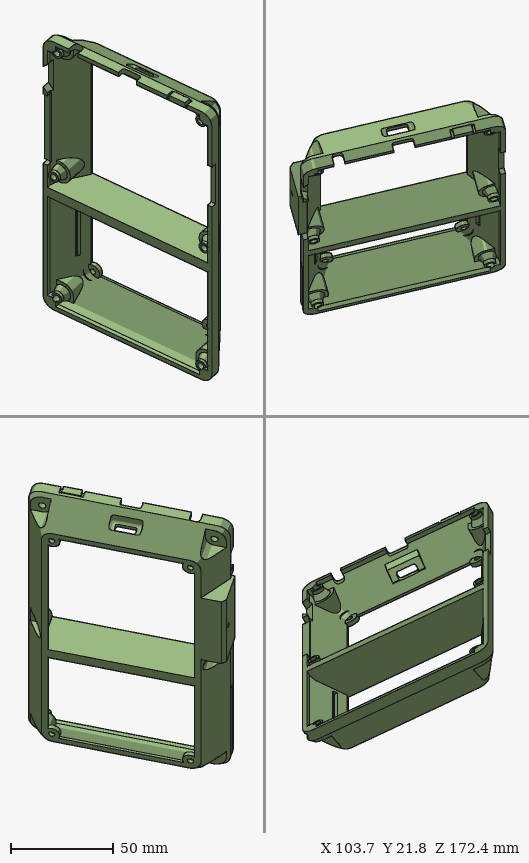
import cadquery as cq
WIDTH = 102.0
HEIGHT = 171.75
DEPTH = 21.75
RIM_DEPTH = 5.6
BACK_INSET = 10.7
CORNER_RADIUS = 6.5
BACK_CORNER_RADIUS = 5.8

LIP_THICKNESS = 2.6
LIP_DEPTH = 2.3
SLOPE_INSET = 3.85
SLOPE_START = 6.0
BACK_OPENING_INSET = 14.0
BACK_LAND = 1.3
INNER_CORNER_RADIUS = 5.5

HALF_W = WIDTH / 2
HALF_H = HEIGHT / 2

BAR_TOP = -9.2
BAR_THICKNESS = 5.9

BOSS_INSET = 7.5
MID_BOSS_INSET = 5.5
MID_BOSS_Z = -1.8
BOSS_DIAMETER = 6.0
BOSS_FRONT = 1.0
BOSS_HOLE = 3.7
CONE_BASE_RADIUS = 4.7
CONE_FRONT = 2.8
SOCKET_RADIUS = 4.5
SOCKET_FRONT = 7.8
SOCKET_BACK = 18.9
COLUMN_RADIUS = SOCKET_RADIUS + 2.1
COLUMN_FRONT = 6.0

POST_INSET = 15.95
POST_DIAMETER = 8.2
POST_HOLE = 2.98
POST_FRONT = 19.4
POST_CONE_FRONT = 17.4

BLOCK_OVERHANG = 103.7 - WIDTH
BLOCK_Z = 27.2
BLOCK_LENGTH = 44.6
BLOCK_FRONT = 3.3
BLOCK_CHAMFER = 2.0
BLOCK_HOLE_DIAMETER = 2.35
BLOCK_HOLE_Y = 15.8
BLOCK_HOLE_DEPTH = 2.0

LEFT_NOTCH_Z = 60.4
LEFT_NOTCH_LENGTH = 13.0
LEFT_NOTCH_DEPTH = 4.3
RIGHT_NOTCH_Z = 40.6
RIGHT_NOTCH_LENGTH = 25.5
RIGHT_NOTCH_DEPTH = 3.0
CABLE_NOTCH_X = -32.7
CABLE_NOTCH_WIDTH = 5.5
CABLE_NOTCH_DEPTH = 5.6
CABLE_NOTCH_CORNER = 2.0
PORT_WIDTH = 10.8
PORT_CORNER = 1.2
PORT_NOTCH_DEPTH = 4.1

PORT_Y = 13.0
PORT_HEIGHT = 4.4
RECESS_WIDTH = 16.3
RECESS_HEIGHT = 7.0
RECESS_CORNER = 1.5
RECESS_INSET = 7.0
RECESS_SIDE_RADIUS = 1.8
RECESS_Y = 12.8
PAD_WIDTH = 17.8
PAD_FRONT_Y = 6.3
PAD_FRONT_INSET = 4.75
PAD_RIDGE_Y = 8.2
PAD_RIDGE_INSET = 8.0
PAD_BACK_Y = 14.6
PAD_BACK_INSET = 10.2

TAB_X = 30.0
TAB_WIDTH = 9.6
TAB_RISE = 172.38 - HEIGHT
TAB_DEPTH = 3.9
TAB_SLIT_WIDTH = 1.3
TAB_SLIT_DEPTH = 1.7

SIDE_GROOVE_TOP = -31.3
SIDE_GROOVE_FRONT = 1.6
SIDE_GROOVE_STEP = 3.25
SIDE_GROOVE_DEPTH = 1.5
WALL_SLOT_Z = -38.6
WALL_SLOT_LENGTH = 41.7
WALL_SLOT_Y = 15.2
WALL_SLOT_THICKNESS = 1.7
WALL_SLOT_INSET = 9.2


def span_box(x_range, y_range, z_range):
    """Box between pairs of coordinates."""
    size = [abs(b - a) for a, b in (x_range, y_range, z_range)]
    corner = [min(r) for r in (x_range, y_range, z_range)]
    return cq.Workplane("XY").box(*size, centered=False).translate(tuple(corner))


def cylinder_y(x, z, radius, front, back):
    """Cylinder along Y."""
    axis = cq.Vector(0, 1, 0)
    return cq.Workplane(obj=cq.Solid.makeCylinder(radius, back - front, cq.Vector(x, front, z), axis))


def outline(inset, y, radius=0):
    """Outline parallel to the front, drawn in from the outer sides and optionally rounded."""
    wire = cq.Workplane("XZ", origin=(0, y, 0)).rect(WIDTH - 2 * inset, HEIGHT - 2 * inset).val()
    if radius:
        wire = wire.fillet2D(radius, wire.Vertices())
    return wire


def ruled_loft(*wires):
    return cq.Workplane(obj=cq.Solid.makeLoft(list(wires), True))


def outer_solid():
    rim = outline(0, 0, CORNER_RADIUS)
    shoulder = outline(0, RIM_DEPTH, CORNER_RADIUS)
    back = outline(BACK_INSET, DEPTH, BACK_CORNER_RADIUS)
    return ruled_loft(rim, shoulder).union(ruled_loft(shoulder, back))


def inner_cavity():
    """Hollow of the lip, the steep zone, the slope with rounded corners and the straight back opening."""
    land_start = DEPTH - BACK_LAND
    front = outline(LIP_THICKNESS, 0)
    lip_end = outline(LIP_THICKNESS, LIP_DEPTH)
    steep_end = outline(SLOPE_INSET, SLOPE_START)
    slope_start = outline(SLOPE_INSET, SLOPE_START, INNER_CORNER_RADIUS)
    slope_end = outline(BACK_OPENING_INSET, land_start, INNER_CORNER_RADIUS)
    back = outline(BACK_OPENING_INSET, DEPTH, INNER_CORNER_RADIUS)
    cavity = ruled_loft(front, lip_end)
    for start, end in ((lip_end, steep_end), (slope_start, slope_end), (slope_end, back)):
        cavity = cavity.union(ruled_loft(start, end))
    return cavity


def corner_prism(sx, sz, radius, front, back):
    """Prism from a corner boss axis out to both sides, rounded about the boss on its inner corner."""
    x = HALF_W - BOSS_INSET
    z = HALF_H - BOSS_INSET
    prism = cylinder_y(sx * x, sz * z, radius, front, back)
    for low_x, low_z in ((x - radius, z), (x, z - radius)):
        prism = prism.union(span_box((sx * low_x, sx * HALF_W), (front, back), (sz * low_z, sz * HALF_H)))
    return prism


def middle_prism(sx, radius, front, back):
    """Prism around a middle boss, open toward the side."""
    x = HALF_W - MID_BOSS_INSET
    z_range = (MID_BOSS_Z - radius, MID_BOSS_Z + radius)
    arm = span_box((sx * x, sx * HALF_W), (front, back), z_range)
    return cylinder_y(sx * x, MID_BOSS_Z, radius, front, back).union(arm)


def cone_y(x, z, front_radius, back_radius, front, back):
    """Cone along Y."""
    axis = cq.Vector(0, 1, 0)
    base = cq.Vector(x, front, z)
    return cq.Workplane(obj=cq.Solid.makeCone(front_radius, back_radius, back - front, base, axis))


def boss(x, z):
    """Screw boss: short cylinder on a cone that stands on its column."""
    cone = cone_y(x, z, BOSS_DIAMETER / 2, CONE_BASE_RADIUS, CONE_FRONT, COLUMN_FRONT)
    return cylinder_y(x, z, BOSS_DIAMETER / 2, BOSS_FRONT, COLUMN_FRONT).union(cone)


def add_screw_points(body, envelope):
    solids = []
    cuts = []
    for sx in (-1, 1):
        places = [(sx * (HALF_W - MID_BOSS_INSET), MID_BOSS_Z)]
        solids.append(middle_prism(sx, COLUMN_RADIUS, COLUMN_FRONT, DEPTH))
        cuts.append(middle_prism(sx, SOCKET_RADIUS, SOCKET_FRONT, DEPTH))
        for sz in (-1, 1):
            x = sx * (HALF_W - BOSS_INSET)
            z = sz * (HALF_H - BOSS_INSET)
            places.append((x, z))
            solids.append(corner_prism(sx, sz, COLUMN_RADIUS, COLUMN_FRONT, DEPTH))
            solids.append(span_box((x, sx * HALF_W), (0, COLUMN_FRONT), (z, sz * HALF_H)))
            cuts.append(corner_prism(sx, sz, SOCKET_RADIUS, SOCKET_FRONT, SOCKET_BACK))
        for x, z in places:
            solids.append(boss(x, z))
            cuts.append(cylinder_y(x, z, BOSS_HOLE / 2, 0, SOCKET_FRONT))
    for solid in solids:
        body = body.union(solid.intersect(envelope))
    for cut in cuts:
        body = body.cut(cut)
    return body


def add_posts(body):
    for sx in (-1, 1):
        for sz in (-1, 1):
            x = sx * (HALF_W - POST_INSET)
            z = sz * (HALF_H - POST_INSET)
            body = body.union(cylinder_y(x, z, POST_DIAMETER / 2, POST_FRONT, DEPTH))
            body = body.cut(cone_y(x, z, POST_DIAMETER / 2, POST_HOLE / 2, POST_CONE_FRONT, POST_FRONT))
            body = body.cut(cylinder_y(x, z, POST_DIAMETER / 2, COLUMN_FRONT, POST_CONE_FRONT))
            body = body.cut(cylinder_y(x, z, POST_HOLE / 2, POST_FRONT, DEPTH))
    return body


def cross_bar(envelope):
    bar = span_box((-HALF_W, HALF_W), (0, DEPTH), (BAR_TOP - BAR_THICKNESS, BAR_TOP))
    return bar.intersect(envelope)


def side_block(cavity):
    """Thick block over the left wall with its outer back edge chamfered and a blind hole."""
    outer_x = -HALF_W - BLOCK_OVERHANG
    z_range = (BLOCK_Z - BLOCK_LENGTH / 2, BLOCK_Z + BLOCK_LENGTH / 2)
    block = span_box((outer_x, BACK_OPENING_INSET - HALF_W), (BLOCK_FRONT, DEPTH), z_range)
    block = block.edges("<X and >Y").chamfer(BLOCK_CHAMFER)
    hole = cq.Solid.makeCylinder(
        BLOCK_HOLE_DIAMETER / 2,
        BLOCK_HOLE_DEPTH,
        cq.Vector(outer_x, BLOCK_HOLE_Y, BLOCK_Z),
        cq.Vector(1, 0, 0),
    )
    return block.cut(cavity).cut(cq.Workplane(obj=hole))


def block_clearance():
    """Removes the rim in front of the side block."""
    z_range = (BLOCK_Z - BLOCK_LENGTH / 2, BLOCK_Z + BLOCK_LENGTH / 2)
    return span_box((-HALF_W, LIP_THICKNESS - HALF_W), (0, BLOCK_FRONT), z_range)


def left_notch():
    """Rim notch with sides flaring at 45 degrees toward the inside."""
    half = LEFT_NOTCH_LENGTH / 2
    flare = SLOPE_INSET
    points = [(-HALF_W, -half), (-HALF_W, half), (flare - HALF_W, half + flare), (flare - HALF_W, -half - flare)]
    notch = cq.Workplane("XZ").polyline(points).close().extrude(-LEFT_NOTCH_DEPTH)
    return notch.translate((0, 0, LEFT_NOTCH_Z))


def right_notch():
    half = RIGHT_NOTCH_LENGTH / 2
    z_range = (RIGHT_NOTCH_Z - half, RIGHT_NOTCH_Z + half)
    return span_box((HALF_W - SLOPE_INSET, HALF_W), (0, RIGHT_NOTCH_DEPTH), z_range)


def top_notch(x, width, depth, corner):
    """Notch through the top rim with rounded corners at its bottom."""
    x_range = (x - width / 2, x + width / 2)
    notch = span_box(x_range, (0, depth), (HALF_H - SLOPE_INSET, HALF_H))
    return notch.edges("|Z and >Y").fillet(corner)


def port_pad():
    """Wedge inside the top wall that keeps thickness under the port recess."""
    points = [
        (PAD_FRONT_Y, HALF_H - PAD_FRONT_INSET),
        (PAD_RIDGE_Y, HALF_H - PAD_RIDGE_INSET),
        (PAD_BACK_Y, HALF_H - PAD_BACK_INSET),
        (PAD_BACK_Y + 1, HALF_H - PAD_BACK_INSET),
        (PAD_FRONT_Y + 1, HALF_H - PAD_FRONT_INSET),
    ]
    return cq.Workplane("YZ").polyline(points).close().extrude(PAD_WIDTH / 2, both=True)


def port_recess():
    """Recess in the top slope with rounded floor sides, and the port opening through its floor."""
    recess = (
        cq.Workplane("XY", origin=(0, RECESS_Y, HALF_H - RECESS_INSET))
        .rect(RECESS_WIDTH, RECESS_HEIGHT)
        .extrude(RECESS_INSET)
        .edges("|Y and <Z")
        .fillet(RECESS_SIDE_RADIUS)
        .edges("|Z")
        .fillet(RECESS_CORNER)
    )
    opening = (
        cq.Workplane("XY", origin=(0, PORT_Y, HALF_H - BACK_OPENING_INSET))
        .rect(PORT_WIDTH, PORT_HEIGHT)
        .extrude(BACK_OPENING_INSET)
        .edges("|Z")
        .fillet(PORT_CORNER)
    )
    return recess.union(opening)


def add_latch_tab(body):
    """Raised tab on the top rim between two slits."""
    half = TAB_WIDTH / 2
    for inner, outer in ((-half, -half - TAB_SLIT_WIDTH), (half, half + TAB_SLIT_WIDTH)):
        slit = span_box((TAB_X + inner, TAB_X + outer), (0, TAB_DEPTH), (HALF_H - TAB_SLIT_DEPTH, HALF_H))
        body = body.cut(slit)
    z_range = (HALF_H - LIP_THICKNESS, HALF_H + TAB_RISE)
    return body.union(span_box((TAB_X - half, TAB_X + half), (0, TAB_DEPTH), z_range))


def side_groove():
    """Groove along the lower left rim, with one bevelled flank, running out at the corner."""
    points = [
        (-HALF_W, SIDE_GROOVE_FRONT),
        (SIDE_GROOVE_DEPTH - HALF_W, SIDE_GROOVE_FRONT),
        (SIDE_GROOVE_DEPTH - HALF_W, SIDE_GROOVE_STEP),
        (-HALF_W, SIDE_GROOVE_STEP + SIDE_GROOVE_DEPTH),
    ]
    length = SIDE_GROOVE_TOP + HALF_H
    return cq.Workplane("XY", origin=(0, 0, -HALF_H)).polyline(points).close().extrude(length)


def wall_slot(sx):
    """Blind slot in the inner slope below the cross bar."""
    y_range = (WALL_SLOT_Y - WALL_SLOT_THICKNESS / 2, WALL_SLOT_Y + WALL_SLOT_THICKNESS / 2)
    z_range = (WALL_SLOT_Z - WALL_SLOT_LENGTH / 2, WALL_SLOT_Z + WALL_SLOT_LENGTH / 2)
    x_range = (sx * (HALF_W - WALL_SLOT_INSET), sx * (HALF_W - BACK_OPENING_INSET))
    return span_box(x_range, y_range, z_range)


envelope = outer_solid()
cavity = inner_cavity()
body = envelope.cut(cavity)
body = body.union(cross_bar(envelope))
body = body.union(side_block(cavity))
body = add_screw_points(body, envelope)
body = add_posts(body)
body = body.union(port_pad())
cutters = [
    block_clearance(),
    left_notch(),
    right_notch(),
    top_notch(CABLE_NOTCH_X, CABLE_NOTCH_WIDTH, CABLE_NOTCH_DEPTH, CABLE_NOTCH_CORNER),
    top_notch(0, PORT_WIDTH, PORT_NOTCH_DEPTH, PORT_CORNER),
    port_recess(),
    side_groove(),
    wall_slot(-1),
    wall_slot(1),
]
for cutter in cutters:
    body = body.cut(cutter)
body = add_latch_tab(body)
result = body.clean()